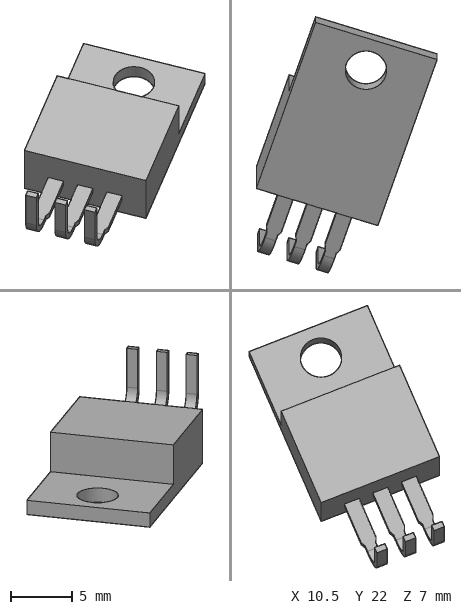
import cadquery as cq

width = 10.5
length = 22.0
height = 7.0

body_height = 4.7
body_length = 8.58
tab_length = 6.91
tab_thickness = 1.25
hole_diameter = 3.4
hole_end_distance = 2.73

lead_count = 3
lead_pitch = 2.53
lead_thickness = 0.5
lead_bottom = 1.58
wide_lead_width = 1.32
narrow_lead_width = 0.92
wide_lead_length = 3.63
taper_length = 0.4
bend_outer_radius = 2.0

tab_start = length - tab_length
body_front = tab_start - body_length
bend_inner_radius = bend_outer_radius - lead_thickness


def make_body():
    """Solid block with a thin tab behind it, flush at the bottom."""
    block = cq.Workplane("XY").box(width, body_length, body_height, centered=(True, False, False))
    block = block.translate((0, body_front, 0))
    tab = cq.Workplane("XY").box(width, tab_length, tab_thickness, centered=(True, False, False))
    tab = tab.translate((0, tab_start, 0))
    hole = (
        cq.Workplane("XY")
        .center(0, length - hole_end_distance)
        .circle(hole_diameter / 2)
        .extrude(tab_thickness)
    )
    return block.union(tab.cut(hole))


def make_lead():
    """L-shaped strip whose sides taper in before the bend."""
    lead_top = lead_bottom + lead_thickness
    bend_end = lead_bottom + bend_outer_radius
    side_profile = (
        cq.Workplane("YZ")
        .moveTo(body_front, lead_bottom)
        .lineTo(bend_outer_radius, lead_bottom)
        .radiusArc((0, bend_end), bend_outer_radius)
        .lineTo(0, height)
        .lineTo(lead_thickness, height)
        .lineTo(lead_thickness, bend_end)
        .radiusArc((bend_outer_radius, lead_top), -bend_inner_radius)
        .lineTo(body_front, lead_top)
        .close()
    )
    strip = side_profile.extrude(wide_lead_width / 2, both=True)

    taper_start = body_front - wide_lead_length
    taper_end = taper_start - taper_length
    wide = wide_lead_width / 2
    narrow = narrow_lead_width / 2
    plan_outline = (
        cq.Workplane("XY")
        .polyline([
            (-wide, body_front),
            (-wide, taper_start),
            (-narrow, taper_end),
            (-narrow, 0),
            (narrow, 0),
            (narrow, taper_end),
            (wide, taper_start),
            (wide, body_front),
        ])
        .close()
        .extrude(height)
    )
    return strip.intersect(plan_outline)


result = make_body()
lead = make_lead()
for index in range(lead_count):
    lead_x = (index - (lead_count - 1) / 2) * lead_pitch
    result = result.union(lead.translate((lead_x, 0, 0)))